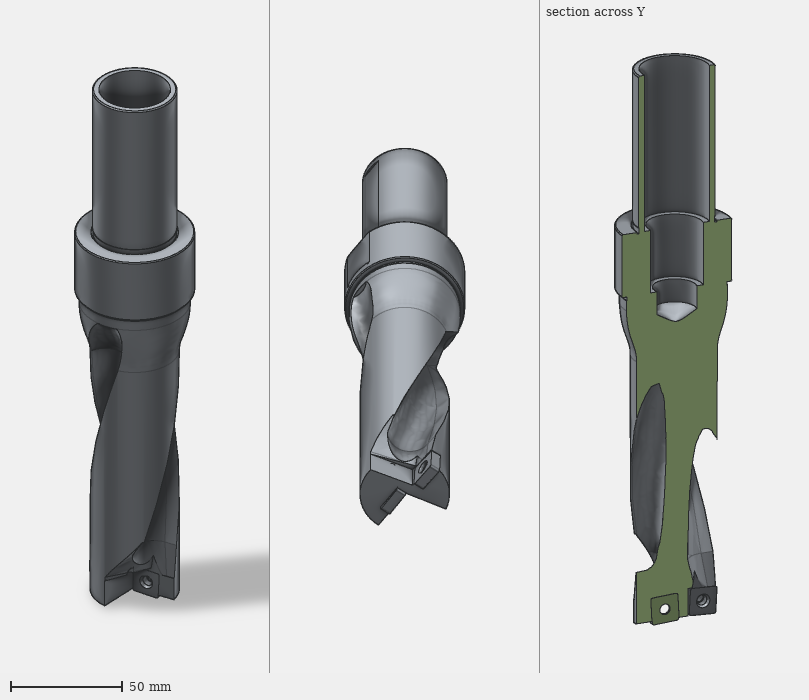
import cadquery as cq
import math

total_length = 265.05

shank_radius = 38.09 / 2
shank_length = 75.0
shank_chamfer = 0.6
neck_radius = 37.59 / 2
neck_height = 2.0
undercut_radius = 19.6
undercut_depth = 0.8
shank_flat_y = 18.3
shank_flat_top_gap = 4.5
shank_flat_length = 66.0

flange_radius = 54.0 / 2
flange_height = 30.5
flange_chamfer = 0.5
flange_flat_y = 25.6
flange_flat_length = 26.0

collar_radius = 25.0
collar_height = 6.3
collar_relief_radius = 49.5 / 2
collar_relief_height = 1.5
bell_height = 25.2
bell_mid_radius = 22.6
bell_mid_fraction = 0.57
body_radius = 20.1
body_bottom = 1.8

bore_steps = [(32.05 / 2, 75.0), (26.05 / 2, 105.0), (20.0 / 2, 116.0)]
bore_point_angle = 118.0

flute_bottom = 29.0
flute_top = 127.5
flute_twist_rate = 0.9
flute_start_angle = 155.6
flute_radius = 20.0 / 2
flute_center = 15.9
flute_offset = -0.8
flute_flare = 25.0
flute_reach = 40.0
runout_height = 25.5
runout_radius = 24.8
runout_end_angle = 280.0
runin_height = 16.0
runin_radius = 9.0
runin_end_angle = 147.0
flute_angles = (0, 180)

pocket_height = 15.0
pocket_reach = 30.0
lip_top_x = 12.5
lip_top_z = 38.0
lip_bottom_z = 17.0
ramp_foot_x = 8.4
inner_pocket_wall = (-0.8, -4.6)
outer_pocket_wall = (6.0, 1.6)

insert_size = 13.0
insert_thickness = 4.8
insert_corner_radius = 1.0
insert_hole_diameter = 4.8
insert_sink_diameter = 6.5
insert_sink_angle = 60.0
insert_tilt = 3.0
inner_insert_x = 5.8
outer_insert_x = 13.9
inner_insert_z = 6.78
outer_insert_z = 7.0
screw_hole_diameter = 4.0
screw_hole_depth = 6.0

coolant_diameter = 3.0
coolant_outlet = (2.3, -8.5, 20.0)
coolant_aim = (0, 0, 149.0)
coolant_depth = 20.0
coolant_lead = 6.0

flange_top = total_length - shank_length
flange_bottom = flange_top - flange_height
collar_bottom = flange_bottom - collar_height
bell_bottom = collar_bottom - bell_height

flute_floor = flute_center - flute_radius


def polar(radius, angle, z):
    """Point at the given radius and angle (degrees) around the axis."""
    return cq.Vector(
        radius * math.cos(math.radians(angle)),
        radius * math.sin(math.radians(angle)),
        z,
    )


def turned_blank():
    """Drill outline revolved about Z, before any milling."""
    bell_mid_z = collar_bottom - bell_mid_fraction * bell_height
    return (
        cq.Workplane("XZ")
        .moveTo(0, body_bottom)
        .lineTo(body_radius, body_bottom)
        .lineTo(body_radius, bell_bottom)
        .spline(
            [(bell_mid_radius, bell_mid_z), (collar_radius, collar_bottom)],
            tangents=[(0, 1), (0, 1)],
            includeCurrent=True,
        )
        .lineTo(collar_radius, flange_bottom - collar_relief_height)
        .lineTo(collar_relief_radius, flange_bottom - collar_relief_height)
        .lineTo(collar_relief_radius, flange_bottom)
        .lineTo(flange_radius - flange_chamfer, flange_bottom)
        .lineTo(flange_radius, flange_bottom + flange_chamfer)
        .lineTo(flange_radius, flange_top - flange_chamfer)
        .lineTo(flange_radius - flange_chamfer, flange_top)
        .lineTo(undercut_radius, flange_top)
        .lineTo(undercut_radius, flange_top - undercut_depth)
        .lineTo(neck_radius, flange_top - undercut_depth)
        .lineTo(neck_radius, flange_top + neck_height)
        .lineTo(shank_radius, flange_top + neck_height)
        .lineTo(shank_radius, total_length - shank_chamfer)
        .lineTo(shank_radius - shank_chamfer, total_length)
        .lineTo(0, total_length)
        .close()
        .revolve(360, (0, 0, 0), (0, 1, 0))
    )


def flat_cut(flat_y, z_top, length):
    """Block that mills a flat facing +Y."""
    return cq.Workplane("XY").box(
        2 * flange_radius, flange_radius, length, centered=(True, False, False)
    ).translate((0, flat_y, z_top - length))


def stepped_bore():
    """Blind bore from the shank end, three diameters and a conical point."""
    last_radius, last_depth = bore_steps[-1]
    point_depth = last_depth + last_radius / math.tan(math.radians(bore_point_angle / 2))
    outline = cq.Workplane("XZ").moveTo(0, total_length)
    previous_depth = 0
    for radius, depth in bore_steps:
        outline = outline.lineTo(radius, total_length - previous_depth)
        outline = outline.lineTo(radius, total_length - depth)
        previous_depth = depth
    outline = outline.lineTo(0, total_length - point_depth).close()
    return outline.revolve(360, (0, 0, 0), (0, 1, 0))


def flute_section(angle, z):
    """Round-bottomed channel, flared on its trailing side, opening in the given direction."""
    plane = cq.Plane(origin=(0, 0, z), xDir=polar(1, angle, 0), normal=(0, 0, 1))
    flare = math.radians(flute_flare)
    flare_start_x = flute_center - flute_radius * math.sin(flare)
    flare_start_y = flute_offset + flute_radius * math.cos(flare)
    flare_end_y = flare_start_y + (flute_reach - flare_start_x) * math.tan(flare)
    return (
        cq.Workplane(plane)
        .moveTo(flute_reach, flute_offset - flute_radius)
        .lineTo(flute_center, flute_offset - flute_radius)
        .threePointArc((flute_floor, flute_offset), (flare_start_x, flare_start_y))
        .lineTo(flute_reach, flare_end_y)
        .close()
    )


def helical_flute():
    """Twisted channel with straight stretches that rise outwards at both ends."""
    twist = flute_twist_rate * (flute_top - flute_bottom)
    channel = flute_section(flute_start_angle, flute_bottom).twistExtrude(
        flute_top - flute_bottom, twist
    )
    top_angle = flute_start_angle + twist
    start = polar(flute_floor, top_angle, flute_top)
    end = polar(runout_radius, runout_end_angle, flute_top + runout_height)
    runout_wire = flute_section(top_angle, flute_top).wires().val()
    runout = cq.Solid.extrudeLinear(runout_wire, [], end - start)

    runin_start = polar(flute_floor, flute_start_angle, flute_bottom)
    runin_end = polar(runin_radius, runin_end_angle, flute_bottom - runin_height)
    runin_wire = flute_section(flute_start_angle, flute_bottom).wires().val()
    runin = cq.Solid.extrudeLinear(runin_wire, [], runin_end - runin_start)
    return [channel, cq.Workplane(obj=runout), cq.Workplane(obj=runin)]


def chip_pocket(wall):
    """L-shaped pocket at the tip plus the sloped ramp above it, on the +X, -Y side."""
    inner_x, outer_x = wall
    taper = (outer_x - inner_x) / body_radius
    lower = (
        cq.Workplane("XY")
        .polyline([
            (inner_x, 0),
            (inner_x + taper * pocket_reach, -pocket_reach),
            (pocket_reach, -pocket_reach),
            (pocket_reach, 0),
        ])
        .close()
        .extrude(pocket_height)
    )
    ramp = (
        cq.Workplane("XZ")
        .polyline([
            (ramp_foot_x, 0), (ramp_foot_x, pocket_height), (lip_top_x, lip_top_z),
            (pocket_reach, lip_top_z), (pocket_reach, 0),
        ])
        .close()
        .workplane(offset=body_radius)
        .polyline([
            (outer_x, 0), (outer_x, lip_bottom_z), (lip_top_x, lip_top_z),
            (pocket_reach, lip_top_z), (pocket_reach, 0),
        ])
        .close()
        .loft(ruled=True)
    )
    return [lower, ramp]


def insert_block(x, z):
    """Square insert without its hole; the rake face lies at Y = 0 and faces -Y."""
    return (
        cq.Workplane("XZ")
        .rect(insert_size, insert_size)
        .extrude(-insert_thickness)
        .edges("|Y")
        .fillet(insert_corner_radius)
        .rotate((0, 0, 0), (0, 1, 0), insert_tilt)
        .translate((x, 0, z))
    )


def insert_hole(x, z):
    """Countersunk screw hole through an insert."""
    return (
        cq.Workplane("XZ", origin=(x, 0, z))
        .circle(insert_hole_diameter / 2)
        .extrude(-insert_thickness)
        .union(
            cq.Workplane("XZ", origin=(x, 0, z))
            .circle(insert_sink_diameter / 2)
            .extrude(
                -(insert_sink_diameter - insert_hole_diameter)
                / 2 / math.tan(math.radians(insert_sink_angle / 2)),
                taper=insert_sink_angle / 2,
            )
        )
    )


def screw_hole(x, z):
    """Blind screw hole in the floor of an insert seat."""
    return (
        cq.Workplane("XZ", origin=(x, insert_thickness, z))
        .circle(screw_hole_diameter / 2)
        .extrude(-screw_hole_depth)
    )


def coolant_hole():
    """Blind hole opening on the ramp of a chip pocket, leaning towards the axis."""
    outlet = cq.Vector(*coolant_outlet)
    direction = cq.Vector(*coolant_aim) - outlet
    start = outlet - direction.normalized() * coolant_lead
    return cq.Workplane(
        obj=cq.Solid.makeCylinder(
            coolant_diameter / 2, coolant_lead + coolant_depth, start, direction
        )
    )


def turn(shape, angle):
    """Rotate a shape about the drill axis."""
    return shape.rotate((0, 0, 0), (0, 0, 1), angle)


body = turned_blank()
body = body.cut(
    flat_cut(shank_flat_y, total_length - shank_flat_top_gap, shank_flat_length)
)
body = body.cut(flat_cut(flange_flat_y, flange_top, flange_flat_length))
body = body.cut(stepped_bore())

for angle in flute_angles:
    for cutter in helical_flute():
        body = body.cut(turn(cutter, angle))
    body = body.cut(turn(coolant_hole(), angle))

seats = [
    (inner_pocket_wall, inner_insert_x, inner_insert_z, flute_angles[0]),
    (outer_pocket_wall, outer_insert_x, outer_insert_z, flute_angles[1]),
]
inserts = []
for wall, x, z, angle in seats:
    for cutter in chip_pocket(wall):
        body = body.cut(turn(cutter, angle))
    body = body.cut(turn(insert_block(x, z), angle))
    body = body.cut(turn(screw_hole(x, z), angle))
    inserts.append(turn(insert_block(x, z).cut(insert_hole(x, z)), angle))

result = cq.Compound.makeCompound([*body.vals(), *[insert.val() for insert in inserts]])